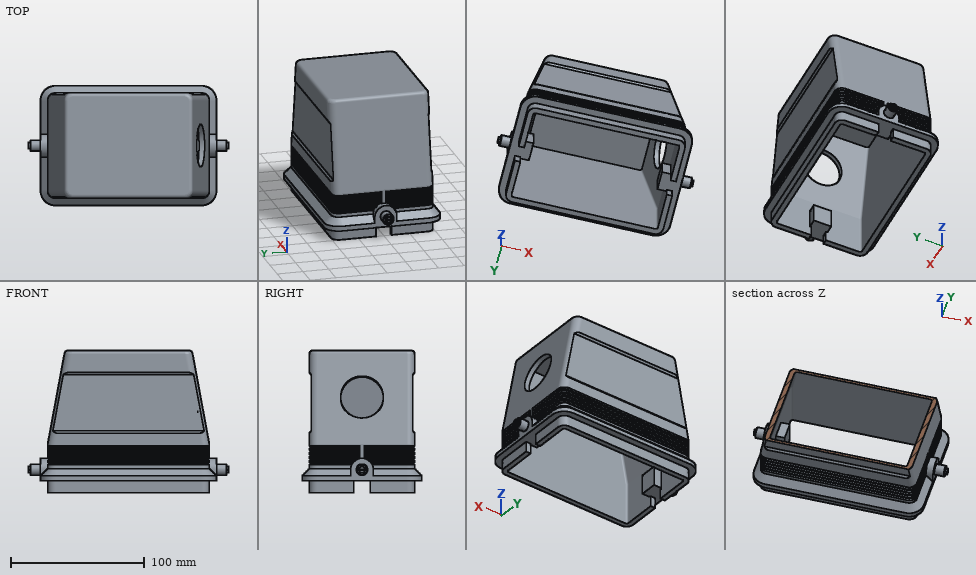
import cadquery as cq
import math

total_length = 150.5
height = 107.0
body_length = 121.5
body_width = 79.2
top_length = 95.4
taper_start = 36.7
corner_radius = 5.9
top_radius = 2.9
wall = 4.2

flange_bottom = 9.0
flange_rim = 3.8
overhang = 5.4

groove_count = 5
groove_pitch = 3.0
groove_depth = 1.4
groove_mouth = 2.1
groove_floor = 0.8
first_groove = 34.2
bridge_width = 3.0

recess_depth = 1.4
recess_bottom = 44.8
recess_top = 90.5
recess_ramp = 1.8

pin_height = 17.5
pin_radius = 4.2
pin_end = 73.7
pin_chamfer = 0.5
tip_radius = 2.4
slot_width = 0.6
boss_radius = 8.6
inner_boss_width = 14.5
inner_boss_reach = 49.7
notch_width = 12.0

entry_diameter = 32.0
entry_height = 72.0

half_length = body_length / 2
flange_half_length = half_length + overhang
half_width = body_width / 2
rim_top = flange_bottom + flange_rim
boss_top = pin_height + boss_radius
slope = (half_length - top_length / 2) / (height - taper_start)
slope_angle = math.degrees(math.atan(slope))


def half_length_at(z):
    """Half length of the hood at a height on its sloped ends."""
    return half_length - slope * (z - taper_start)


def box(x_start, x_end, width, z_start, z_end):
    """Box centred on Y between two X and two Z places."""
    size_x = x_end - x_start
    return cq.Workplane("XY").box(size_x, width, z_end - z_start).translate(
        ((x_start + x_end) / 2, 0, (z_start + z_end) / 2)
    )


def x_cylinder(radius, x_start, x_end):
    """Cylinder on the pin axis between two X places."""
    return (
        cq.Workplane("YZ", origin=(x_start, 0, pin_height))
        .circle(radius)
        .extrude(x_end - x_start)
    )


def body_slab(grow, z, thickness, taper=0):
    """Slab with the body's rounded outline, offset outward by grow."""
    outline = cq.Sketch().rect(body_length + 2 * grow, body_width + 2 * grow)
    outline = outline.vertices().fillet(corner_radius + grow)
    return cq.Workplane("XY", origin=(0, 0, z)).placeSketch(outline).extrude(thickness, taper=taper)


def hood_block(inset):
    """Hood shape with straight lower walls and sloped ends, shrunk by inset."""
    roof = height - inset
    end_inset = inset / math.cos(math.radians(slope_angle))
    bend = taper_start + (inset - end_inset) / slope
    lower_x = half_length - inset
    roof_x = half_length_at(roof) - end_inset
    block = (
        cq.Workplane("XZ")
        .polyline([
            (-lower_x, 0),
            (lower_x, 0),
            (lower_x, bend),
            (roof_x, roof),
            (-roof_x, roof),
            (-lower_x, bend),
        ])
        .close()
        .extrude(half_width - inset, both=True)
    )
    return block.edges("not(|X or |Y)").fillet(corner_radius - inset)


def flange():
    """Rim band with a 45 degree shoulder running up to the body."""
    rim = body_slab(overhang, flange_bottom, flange_rim)
    shoulder = body_slab(overhang, rim_top, overhang, taper=45)
    return rim.union(shoulder)


def groove(z):
    """Cutter for one trapezoidal groove, interrupted by a bridge at each end."""
    flank = (groove_mouth - groove_floor) / 2
    flank_angle = math.degrees(math.atan(groove_depth / flank))
    bottom = z - groove_mouth / 2
    lower = body_slab(0, bottom, flank, taper=flank_angle)
    middle = body_slab(-groove_depth, z - groove_floor / 2, groove_floor)
    upper = body_slab(-groove_depth, z + groove_floor / 2, flank, taper=-flank_angle)
    ring = body_slab(overhang, bottom, groove_mouth).cut(lower).cut(middle).cut(upper)
    bridge = box(-flange_half_length, flange_half_length, bridge_width, bottom, bottom + groove_mouth)
    return ring.cut(bridge)


def side_recess():
    """Cutter for the sunken panel on the -Y side, with ramps above and below."""
    face = -half_width
    floor = face + recess_depth
    return (
        cq.Workplane("YZ")
        .polyline([
            (face, recess_bottom),
            (floor, recess_bottom + recess_ramp),
            (floor, recess_top - recess_ramp),
            (face, recess_top),
        ])
        .close()
        .extrude(half_length, both=True)
    )


def end_boss():
    """Round-topped boss on the +X end, with a pad inside the wall behind it."""
    round_top = x_cylinder(boss_radius, half_length - wall, flange_half_length)
    round_top = round_top.intersect(box(0, flange_half_length, body_width, flange_bottom, boss_top))
    foot = box(half_length - wall, flange_half_length, 2 * boss_radius, flange_bottom, pin_height)
    pad = box(inner_boss_reach, half_length - wall, inner_boss_width, flange_bottom, boss_top)
    return round_top.union(foot).union(pad)


def pin():
    """Locking pin on the +X end with a slotted round tip."""
    tip_end = total_length / 2
    shank = x_cylinder(pin_radius, half_length, pin_end).faces(">X").chamfer(pin_chamfer)
    tip = x_cylinder(tip_radius, pin_end, tip_end)
    slot = box(pin_end, tip_end, 2 * tip_radius, pin_height - slot_width / 2, pin_height + slot_width / 2)
    return shank.union(tip.cut(slot))


def cable_entry():
    """Cutter for the round hole square to the +X sloped end."""
    centre = cq.Vector(half_length_at(entry_height), 0, entry_height)
    normal = cq.Vector(1, 0, slope).normalized()
    start = centre + normal * wall
    plane = cq.Plane(origin=start.toTuple(), xDir=(0, 1, 0), normal=(-normal).toTuple())
    return cq.Workplane(plane).circle(entry_diameter / 2).extrude(3 * wall)


result = hood_block(0).faces(">Z").edges().fillet(top_radius)
for index in range(groove_count):
    result = result.cut(groove(first_groove - index * groove_pitch))
recess = side_recess()
result = result.cut(recess).cut(recess.mirror("XZ"))
result = result.union(flange())

result = result.cut(hood_block(wall)).cut(cable_entry())
result = result.cut(box(-half_length, half_length, notch_width, 0, flange_bottom))

end_fitting = end_boss().union(pin())
result = result.union(end_fitting).union(end_fitting.mirror("YZ"))